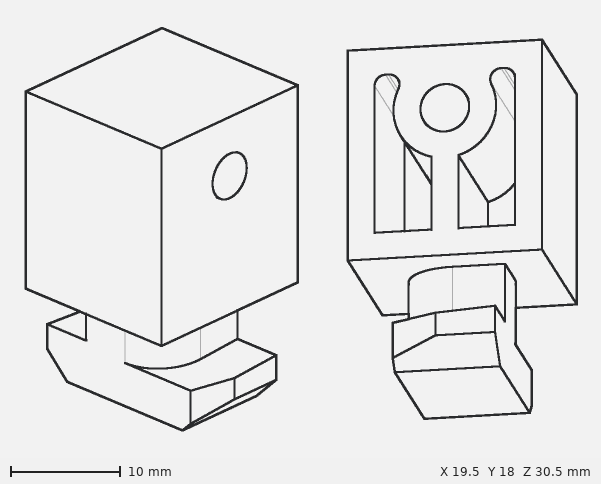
import cadquery as cq
import math

total_height = 30.5
block_length = 17.05
block_width = 18.0
block_height = 20.0
wall = 2.5

hole_diameter = 4.5
hole_drop = 5.98
boss_radius = 4.75
pocket_corner_radius = 1.0

head_length = 19.5
head_width = 9.75
head_height = 5.0
head_chamfer = 2.5
head_top_fall = 0.6
corner_cut_length = 1.45
corner_cut_width = 4.25

block_bottom = total_height - block_height
hole_height = total_height - hole_drop
half_head = head_length / 2
half_width = head_width / 2


def half_turn(shape):
    """Copy a shape to the opposite side of the Z axis."""
    return shape.rotate((0, 0, 0), (0, 0, 1), 180)


def make_block():
    return (
        cq.Workplane("XY")
        .workplane(offset=block_bottom)
        .rect(block_length, block_width)
        .extrude(block_height)
    )


def make_pocket():
    """Blind pocket on the +Y side of the rib, open at the -X face."""
    outer_y = block_width / 2 - wall
    rib_y = wall / 2
    floor_z = block_bottom + wall
    boss_foot_z = hole_height - math.sqrt(boss_radius**2 - rib_y**2)

    top_z = total_height - wall
    corner_z = top_z - pocket_corner_radius

    corner_distance = boss_radius + pocket_corner_radius
    corner_rise = corner_z - hole_height
    inner_corner_y = math.sqrt(corner_distance**2 - corner_rise**2)
    outer_corner_y = outer_y - pocket_corner_radius
    boss_share = boss_radius / corner_distance
    tangent_point = (inner_corner_y * boss_share, hole_height + corner_rise * boss_share)

    foot_angle = math.atan2(boss_foot_z - hole_height, rib_y)
    tangent_angle = math.atan2(corner_rise, inner_corner_y)
    middle_angle = (foot_angle + tangent_angle) / 2
    boss_middle = (
        boss_radius * math.cos(middle_angle),
        hole_height + boss_radius * math.sin(middle_angle),
    )
    return (
        cq.Workplane("YZ")
        .workplane(offset=-block_length / 2)
        .moveTo(rib_y, floor_z)
        .lineTo(outer_y, floor_z)
        .lineTo(outer_y, corner_z)
        .radiusArc((outer_corner_y, top_z), -pocket_corner_radius)
        .lineTo(inner_corner_y, top_z)
        .radiusArc(tangent_point, -pocket_corner_radius)
        .threePointArc(boss_middle, (rib_y, boss_foot_z))
        .close()
        .extrude(block_length - wall)
    )


def make_cross_hole():
    return (
        cq.Workplane("YZ")
        .workplane(offset=-block_length / 2)
        .center(0, hole_height)
        .circle(hole_diameter / 2)
        .extrude(block_length)
    )


def make_neck():
    """Round neck with square corners in two opposite quadrants."""
    neck = cq.Workplane("XY").circle(half_width).extrude(block_bottom)
    square_corner = (
        cq.Workplane("XY").rect(-half_width, -half_width, centered=False).extrude(block_bottom)
    )
    return neck.union(square_corner).union(half_turn(square_corner))


def make_half_head():
    """The -X half of the head, with its top falling towards +Y."""
    half = (
        cq.Workplane("YZ")
        .moveTo(-half_width, 0)
        .lineTo(half_width, 0)
        .lineTo(half_width, head_height - head_top_fall)
        .lineTo(-half_width, head_height)
        .close()
        .extrude(-half_head)
    )
    end_chamfer = (
        cq.Workplane("XZ")
        .workplane(offset=-half_width)
        .moveTo(-half_head, 0)
        .lineTo(-half_head + head_chamfer, 0)
        .lineTo(-half_head, head_chamfer)
        .close()
        .extrude(head_width)
    )
    corner_cut = (
        cq.Workplane("XY")
        .moveTo(-half_head, half_width)
        .lineTo(-half_head + corner_cut_length, half_width)
        .lineTo(-half_head, half_width - corner_cut_width)
        .close()
        .extrude(head_height)
    )
    return half.cut(end_chamfer).cut(corner_cut)


pocket = make_pocket()
block = make_block().cut(pocket).cut(pocket.mirror("XZ")).cut(make_cross_hole())
half_of_head = make_half_head()
head = half_of_head.union(half_turn(half_of_head))
result = block.union(make_neck()).union(head)